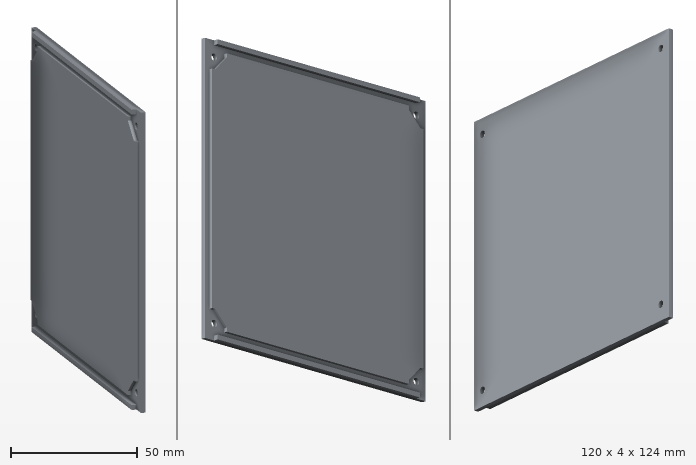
import cadquery as cq

plate_width = 120.0
plate_height = 124.0
plate_thickness = 2.0
total_depth = 4.0

panel_size = 115.0
panel_rise = 1.5
corner_notch = 8.0
notch_step = 1.7

rail_length = 110.0
rail_height = 2.0
rail_rise = total_depth - plate_thickness

hole_diameter = 3.0
hole_spacing = 110.0

back_y = total_depth / 2
plate_front_y = back_y - plate_thickness


def front_plane(y):
    """Sketch plane parallel to XZ at the given Y, with its normal toward -Y."""
    return cq.Workplane("XZ", origin=(0, y, 0))


def make_plate():
    return front_plane(back_y).rect(plate_width, plate_height).extrude(plate_thickness)


def make_rails():
    rail_z = (plate_height - rail_height) / 2
    return (
        front_plane(plate_front_y)
        .pushPoints([(0, rail_z), (0, -rail_z)])
        .rect(rail_length, rail_height)
        .extrude(rail_rise)
    )


def make_corner_relief():
    """Cutter for the upper right panel corner: a square less a diagonal at its inner corner."""
    outer = panel_size / 2
    inner = outer - corner_notch
    step = outer - notch_step
    return (
        front_plane(plate_front_y)
        .polyline([(inner, outer), (inner, step), (step, inner), (outer, inner), (outer, outer)])
        .close()
        .extrude(panel_rise)
    )


def make_panel():
    panel = front_plane(plate_front_y).rect(panel_size, panel_size).extrude(panel_rise)
    relief = make_corner_relief()
    for angle in (0, 90, 180, 270):
        panel = panel.cut(relief.rotate((0, 0, 0), (0, 1, 0), angle))
    return panel


def make_holes():
    return (
        front_plane(back_y)
        .rect(hole_spacing, hole_spacing, forConstruction=True)
        .vertices()
        .circle(hole_diameter / 2)
        .extrude(plate_thickness)
    )


result = make_plate().union(make_rails()).union(make_panel()).cut(make_holes())